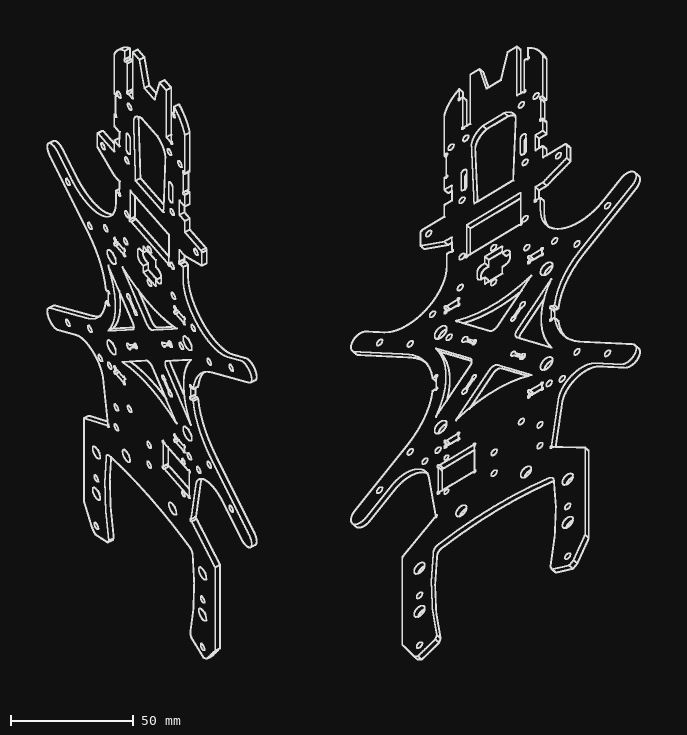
import cadquery as cq
import math

THICKNESS = 2.5
TOTAL_WIDTH = 150.96
TOTAL_LENGTH = 325.31
TOP = 169.9
BOTTOM = TOP - TOTAL_LENGTH

ARM_ANGLE = math.radians(35.9)
ARM_HALF_WIDTH = 5.0
ARM_TIP_RADIUS = (TOTAL_WIDTH / 2 - ARM_HALF_WIDTH) / math.cos(ARM_ANGLE)
ARM_HOLE_RADII = (54.4, 74.4)
NECK_HALF_WIDTH = 24.8
FRONT_ARMPIT_RADIUS = 20.8
REAR_ARMPIT_RADIUS = 12.5
SIDE_RADIUS = 33.4
SIDE_CORNER_X = ARM_HALF_WIDTH / math.sin(ARM_ANGLE)
SIDE_CENTER_X = (SIDE_RADIUS + ARM_HALF_WIDTH) / math.sin(ARM_ANGLE)

SIDE_NOTCH_FLOOR_X = 30.4
SIDE_NOTCH_HEIGHT = 7.4

PRONG_HALF_WIDTH = 12.4
PRONG_NOTCH_TOP_HALF_WIDTH = 7.4
PRONG_NOTCH_BOTTOM_HALF_WIDTH = 3.8
PRONG_NOTCH_FLOOR = 155.8
HORN_SLOT_FLOOR = 140.9
HORN_INNER_X = 16.2
HORN_STEP_X = 18.1
HORN_STEP_Z = 159.2
HORN_TIP_Z = 165.2
HORN_SHOULDER_Z = 155.2
HORN_CURVE_POINT = (22.6, 161.5)
TAB_X = 26.1
RECESS_X = 25.1
RECESS_TOP = 131.1
RECESS_BOTTOM = 118.1
TAB_NOTCH_X = 22.1
TAB_NOTCH_TOP = 110.9
TAB_NOTCH_BOTTOM = 102.0
EAR_X = 38.7
EAR_TOP = 95.1
EAR_CORNER = 0.7
EAR_BOTTOM = 86.3
EAR_ROOT_Z = 80.3
SHOULDER_Z = 72.2

WAIST_FRONT = (35.0, -48.5)
WAIST_REAR = (30.6, -79.0)
LEG_OUTER_X = 48.4
LEG_TOP_Z = -91.3
LEG_BEVEL_Z = -142.9
LEG_TIP_OUTER = (42.3, -153.8)
LEG_TIP_X = 40.0
LEG_INNER_TIP = (30.8, -151.6)
LEG_INNER_CORNER = (30.0, -149.6)
LEG_INNER_MIDDLE = (32.9, -122.0)
LEG_ROOT = (31.8, -99.0)
LEG_ROOT_BEND = (31.0, -97.5)
LEG_ARCH_END = (29.3, -96.6)
ARCH_TOP = -93.9

CROSS_CORNER_RADIUS = 3.0
END_OPENING_APEX = 9.4
END_OPENING_CORNER_X = 20.0
END_OPENING_ARC_Z = 25.5
SIDE_OPENING_APEX = 10.3
SIDE_OPENING_ARC_X = 25.1

WINDOW_TOP = 135.1
WINDOW_TOP_HALF_WIDTH = 5.7
WINDOW_SHOULDER = (11.7, 128.0)
WINDOW_CURVE_POINT = (9.8, 132.4)
WINDOW_BOTTOM = 92.2
WINDOW_BOTTOM_HALF_WIDTH = 10.3
SERVO_WINDOW_HALF_WIDTH = 14.3
SERVO_WINDOW_TOP = 82.2
SERVO_WINDOW_BOTTOM = 63.7
CROSS_WINDOW_Z = 49.0
CROSS_WINDOW_TALL = (9.1, 16.1)
CROSS_WINDOW_WIDE = (17.2, 8.2)
CROSS_WINDOW_CORNER = 2.5
REAR_WINDOW_CENTER = (19.7, -58.1)
REAR_WINDOW_SIZE = (19.0, 15.8)

LONG_SLOT_CENTER = (15.7, 109.8)
LONG_SLOT_SIZE = (11.8, 2.9)
TAB_SLOT_CENTER = (22.1, 39.7)
TAB_SLOT_SIZE = (6.9, 3.2)
MOTOR_SLOT_INNER = 10.3
MOTOR_SLOT_OUTER = 15.3
MOTOR_SLOT_WIDTH = 1.2
MOTOR_INNER_DIAMETER = 2.2
MOTOR_OUTER_DIAMETER = 2.8
LIMB_ANGLE = 45

RELIEF_DIAMETER = 1.3

SCREW_DIAMETER = 3.0
PAIRED_SCREW_HOLES = [
    (22.5, 133.8), (14.7, 133.8), (16.7, 98.5), (34.3, 90.6), (16.7, 65.2), (17.6, 47.5),
    (32.3, 41.6), (29.4, -40.7), (36.3, -42.6), (39.2, -120.0), (39.2, -149.4),
]
SINGLE_SCREW_HOLES = [
    (0, 59.3), (0, 38.7), (23.5, 22.1), (-14.7, -53.4),
    (-24.5, -61.9), (-24.5, -74.2), (-0.3, -61.9), (-0.3, -74.2),
]
SERVO_SCREW_DIAMETER = 2.4
SERVO_SCREW_SPACING = 20.2
SERVO_SCREW_X = 25.0
STANDOFF_DIAMETER = 6.4
STANDOFF_OFFSET = 28.0
LARGE_DIAMETER = 5.6
PAIRED_LARGE_HOLES = [(17.1, -84.8), (39.2, -103.9), (39.2, -129.4)]


def plane():
    return cq.Workplane("XZ")


def plate(sketch):
    """Extrude a closed outline to the plate thickness, centred on Y = 0."""
    return sketch.extrude(THICKNESS / 2, both=True)


def both_sides(points):
    return [(side * x, z) for x, z in points for side in (1, -1)]


def arm_point(radius, offset, end):
    """Point beside an arm axis; end is 1 for the front arm and -1 for the rear arm.

    A positive offset lies on the side away from Z = 0.
    """
    x = radius * math.cos(ARM_ANGLE) - offset * math.sin(ARM_ANGLE)
    z = radius * math.sin(ARM_ANGLE) + offset * math.cos(ARM_ANGLE)
    return (x, end * z)


def arm_outer_edge_z(x):
    """Z of the front arm's edge facing away from Z = 0."""
    return x * math.tan(ARM_ANGLE) + ARM_HALF_WIDTH / math.cos(ARM_ANGLE)


def rear_armpit_corner():
    """Where the waist line, extended forward, meets the rear arm's edge."""
    slope = (WAIST_FRONT[0] - WAIST_REAR[0]) / (WAIST_FRONT[1] - WAIST_REAR[1])
    edge_at_axis = arm_outer_edge_z(0)
    x_at_zero = WAIST_FRONT[0] - slope * WAIST_FRONT[1]
    z = -(edge_at_axis + x_at_zero * math.tan(ARM_ANGLE)) / (1 + slope * math.tan(ARM_ANGLE))
    return (x_at_zero + slope * z, z)


def round_corner(body, corner, radius):
    point = (corner[0], 0, corner[1])
    return body.edges("|Y").edges(cq.selectors.NearestToPointSelector(point)).fillet(radius)


def half_body():
    """Right half of the plate outline, walked from the front end to the rear end."""
    front_armpit = (NECK_HALF_WIDTH, arm_outer_edge_z(NECK_HALF_WIDTH))
    side_corner = (SIDE_CORNER_X, 0)
    rear_armpit = rear_armpit_corner()
    arch_middle = (LEG_ARCH_END[0] / 2, ARCH_TOP + (LEG_ARCH_END[1] - ARCH_TOP) / 4)
    outline = (
        plane()
        .moveTo(0, PRONG_NOTCH_FLOOR)
        .lineTo(PRONG_NOTCH_BOTTOM_HALF_WIDTH, PRONG_NOTCH_FLOOR)
        .lineTo(PRONG_NOTCH_TOP_HALF_WIDTH, TOP)
        .lineTo(PRONG_HALF_WIDTH, TOP)
        .lineTo(PRONG_HALF_WIDTH, HORN_SLOT_FLOOR)
        .lineTo(HORN_INNER_X, HORN_SLOT_FLOOR)
        .lineTo(HORN_INNER_X, HORN_STEP_Z)
        .lineTo(HORN_STEP_X, HORN_STEP_Z)
        .lineTo(HORN_STEP_X, HORN_TIP_Z)
        .threePointArc(HORN_CURVE_POINT, (TAB_X, HORN_SHOULDER_Z))
        .lineTo(TAB_X, RECESS_TOP)
        .lineTo(RECESS_X, RECESS_TOP)
        .lineTo(RECESS_X, RECESS_BOTTOM)
        .lineTo(TAB_X, RECESS_BOTTOM)
        .lineTo(TAB_X, TAB_NOTCH_TOP)
        .lineTo(TAB_NOTCH_X, TAB_NOTCH_TOP)
        .lineTo(TAB_NOTCH_X, TAB_NOTCH_BOTTOM)
        .lineTo(TAB_X, TAB_NOTCH_BOTTOM)
        .lineTo(TAB_X, EAR_TOP)
        .lineTo(EAR_X - EAR_CORNER, EAR_TOP)
        .lineTo(EAR_X, EAR_TOP - EAR_CORNER)
        .lineTo(EAR_X, EAR_BOTTOM)
        .lineTo(TAB_X, EAR_ROOT_Z)
        .lineTo(TAB_NOTCH_X, EAR_ROOT_Z)
        .lineTo(TAB_NOTCH_X, SHOULDER_Z)
        .lineTo(NECK_HALF_WIDTH, SHOULDER_Z)
        .lineTo(*front_armpit)
        .lineTo(*arm_point(ARM_TIP_RADIUS, ARM_HALF_WIDTH, 1))
        .threePointArc(
            arm_point(ARM_TIP_RADIUS + ARM_HALF_WIDTH, 0, 1),
            arm_point(ARM_TIP_RADIUS, -ARM_HALF_WIDTH, 1),
        )
        .lineTo(*side_corner)
        .lineTo(*arm_point(ARM_TIP_RADIUS, -ARM_HALF_WIDTH, -1))
        .threePointArc(
            arm_point(ARM_TIP_RADIUS + ARM_HALF_WIDTH, 0, -1),
            arm_point(ARM_TIP_RADIUS, ARM_HALF_WIDTH, -1),
        )
        .lineTo(*rear_armpit)
        .lineTo(*WAIST_REAR)
        .lineTo(LEG_OUTER_X, LEG_TOP_Z)
        .lineTo(LEG_OUTER_X, LEG_BEVEL_Z)
        .lineTo(*LEG_TIP_OUTER)
        .lineTo(LEG_TIP_X, BOTTOM)
        .lineTo(*LEG_INNER_TIP)
        .lineTo(*LEG_INNER_CORNER)
        .threePointArc(LEG_INNER_MIDDLE, LEG_ROOT)
        .threePointArc(LEG_ROOT_BEND, LEG_ARCH_END)
        .threePointArc(arch_middle, (0, ARCH_TOP))
        .close()
    )
    half = plate(outline)
    half = round_corner(half, front_armpit, FRONT_ARMPIT_RADIUS)
    half = round_corner(half, side_corner, SIDE_RADIUS)
    return round_corner(half, rear_armpit, REAR_ARMPIT_RADIUS)


def round_holes(points, diameter):
    return plate(plane().pushPoints(points).circle(diameter / 2))


def rectangle(center, size):
    return plate(plane().center(*center).rect(*size))


def rectangle_corners(center, size):
    return [
        (center[0] + sx * size[0] / 2, center[1] + sz * size[1] / 2)
        for sx in (1, -1)
        for sz in (1, -1)
    ]


def relieved_rectangle(center, size):
    """Rectangular cutter with a round tool relief at each corner."""
    return rectangle(center, size).union(round_holes(rectangle_corners(center, size), RELIEF_DIAMETER))


def outline_reliefs():
    """Tool reliefs at the inner corners of the outline."""
    corners = [
        (HORN_INNER_X, HORN_SLOT_FLOOR),
        (HORN_STEP_X, HORN_STEP_Z),
        (RECESS_X, RECESS_TOP),
        (RECESS_X, RECESS_BOTTOM),
        (TAB_NOTCH_X, SHOULDER_Z),
        WAIST_REAR,
    ]
    return round_holes(both_sides(corners), RELIEF_DIAMETER)


def side_notch(side):
    width = SIDE_CENTER_X - SIDE_NOTCH_FLOOR_X
    center = (side * (SIDE_NOTCH_FLOOR_X + width / 2), 0)
    return relieved_rectangle(center, (width, SIDE_NOTCH_HEIGHT))


def end_opening():
    """Three-sided opening on the front end of the crossing, closed by an arc bulging towards it."""
    corner_z = END_OPENING_CORNER_X + END_OPENING_APEX
    opening = plate(
        plane()
        .moveTo(0, END_OPENING_APEX)
        .lineTo(END_OPENING_CORNER_X, corner_z)
        .threePointArc((0, END_OPENING_ARC_Z), (-END_OPENING_CORNER_X, corner_z))
        .close()
    )
    return round_corner(opening, (0, END_OPENING_APEX), CROSS_CORNER_RADIUS)


def side_opening():
    """Three-sided opening beside the crossing, its arc concentric with the outer side."""
    radius = SIDE_CENTER_X - SIDE_OPENING_ARC_X
    span = SIDE_CENTER_X - SIDE_OPENING_APEX
    reach = (span - math.sqrt(2 * radius**2 - span**2)) / 2
    corner_x = SIDE_OPENING_APEX + reach
    opening = plate(
        plane()
        .moveTo(SIDE_OPENING_APEX, 0)
        .lineTo(corner_x, reach)
        .threePointArc((SIDE_OPENING_ARC_X, 0), (corner_x, -reach))
        .close()
    )
    return round_corner(opening, (SIDE_OPENING_APEX, 0), CROSS_CORNER_RADIUS)


def arched_window():
    x, z = WINDOW_SHOULDER
    curve_x, curve_z = WINDOW_CURVE_POINT
    return plate(
        plane()
        .moveTo(-WINDOW_BOTTOM_HALF_WIDTH, WINDOW_BOTTOM)
        .lineTo(WINDOW_BOTTOM_HALF_WIDTH, WINDOW_BOTTOM)
        .lineTo(x, z)
        .threePointArc((curve_x, curve_z), (WINDOW_TOP_HALF_WIDTH, WINDOW_TOP))
        .lineTo(-WINDOW_TOP_HALF_WIDTH, WINDOW_TOP)
        .threePointArc((-curve_x, curve_z), (-x, z))
        .close()
    )


def servo_window():
    """Wide window with tool reliefs at its rear corners."""
    size = (2 * SERVO_WINDOW_HALF_WIDTH, SERVO_WINDOW_TOP - SERVO_WINDOW_BOTTOM)
    window = rectangle((0, (SERVO_WINDOW_TOP + SERVO_WINDOW_BOTTOM) / 2), size)
    reliefs = both_sides([(SERVO_WINDOW_HALF_WIDTH, SERVO_WINDOW_BOTTOM)])
    return window.union(round_holes(reliefs, RELIEF_DIAMETER))


def cross_window():
    center = (0, CROSS_WINDOW_Z)
    wide = rectangle(center, CROSS_WINDOW_WIDE).edges("|Y").fillet(CROSS_WINDOW_CORNER)
    return wide.union(rectangle(center, CROSS_WINDOW_TALL))


def rear_window():
    """Off-centre window with a screw hole ahead of it and one behind it."""
    middle_z = REAR_WINDOW_CENTER[1]
    screws = [(SERVO_SCREW_X, middle_z + end * SERVO_SCREW_SPACING / 2) for end in (1, -1)]
    return relieved_rectangle(REAR_WINDOW_CENTER, REAR_WINDOW_SIZE).union(
        round_holes(screws, SERVO_SCREW_DIAMETER)
    )


def motor_slot(side, end):
    """Diagonal slot on one limb of the X, with a wider screw hole at each end."""
    middle = (MOTOR_SLOT_INNER + MOTOR_SLOT_OUTER) / 2
    length = (MOTOR_SLOT_OUTER - MOTOR_SLOT_INNER) * math.sqrt(2) + MOTOR_SLOT_WIDTH
    place = plane().center(side * middle, end * middle)
    slot = plate(place.slot2D(length, MOTOR_SLOT_WIDTH, side * end * LIMB_ANGLE))
    inner = (side * MOTOR_SLOT_INNER, end * MOTOR_SLOT_INNER)
    outer = (side * MOTOR_SLOT_OUTER, end * MOTOR_SLOT_OUTER)
    slot = slot.union(round_holes([inner], MOTOR_INNER_DIAMETER))
    return slot.union(round_holes([outer], MOTOR_OUTER_DIAMETER))


def long_slot(side):
    x, z = LONG_SLOT_CENTER
    return plate(plane().center(side * x, z).slot2D(*LONG_SLOT_SIZE, 90))


def cutters():
    arm_holes = [arm_point(radius, 0, end) for radius in ARM_HOLE_RADII for end in (1, -1)]
    standoffs = [(STANDOFF_OFFSET, STANDOFF_OFFSET), (STANDOFF_OFFSET, -STANDOFF_OFFSET)]
    yield outline_reliefs()
    yield round_holes(both_sides(PAIRED_SCREW_HOLES + arm_holes), SCREW_DIAMETER)
    yield round_holes(SINGLE_SCREW_HOLES, SCREW_DIAMETER)
    yield round_holes(both_sides(standoffs), STANDOFF_DIAMETER)
    yield round_holes(both_sides(PAIRED_LARGE_HOLES), LARGE_DIAMETER)
    yield arched_window()
    yield servo_window()
    yield cross_window()
    yield rear_window()
    yield end_opening()
    yield end_opening().mirror("XY")
    yield side_opening()
    yield side_opening().mirror("YZ")
    for side in (1, -1):
        yield side_notch(side)
        yield long_slot(side)
        for end in (1, -1):
            yield relieved_rectangle((side * TAB_SLOT_CENTER[0], end * TAB_SLOT_CENTER[1]), TAB_SLOT_SIZE)
            yield motor_slot(side, end)


right_half = half_body()
result = right_half.union(right_half.mirror("YZ"))
for cutter in cutters():
    result = result.cut(cutter)